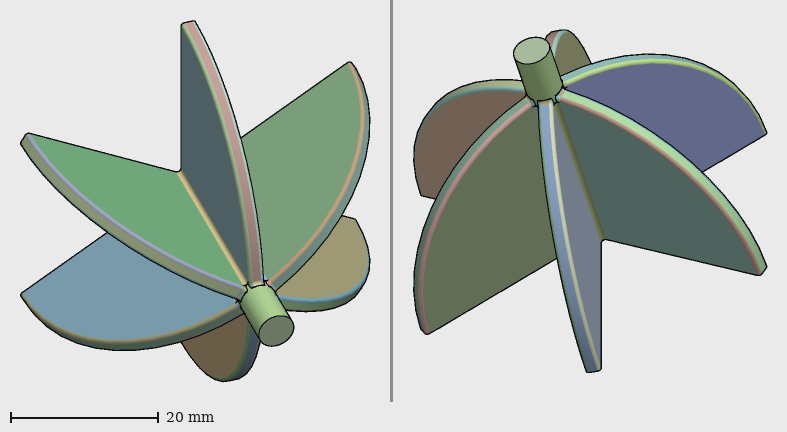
import cadquery as cq
import math

blade_count = 6
blade_radius = 27.5
blade_thickness = 2.15
edge_round = 0.5
root_round = 0.5
stem_round = 0.5
stem_radius = 2.55
core_setback = 0.3
total_length = 35.0

fillet_center_r = stem_radius + stem_round
fillet_center_x = math.sqrt((blade_radius + stem_round) ** 2 - fillet_center_r ** 2)
touch_ratio = blade_radius / (blade_radius + stem_round)
arc_end_angle = math.atan2(fillet_center_r, fillet_center_x)

core_length = blade_radius - edge_round - core_setback
sharp_root_radius = blade_thickness / 2 / math.sin(math.pi / blade_count)
core_arm_length = sharp_root_radius + 3 * root_round


def around_axis(solid):
    """Union of equally spaced copies of a solid about the X axis."""
    ring = solid
    for i in range(1, blade_count):
        ring = ring.union(solid.rotate((0, 0, 0), (1, 0, 0), i * 360 / blade_count))
    return ring


def make_blade():
    """Quarter disc with a concave blend to the stem and rounded outer edges."""
    arc_mid_angle = (math.pi / 2 + arc_end_angle) / 2
    arc_mid = (blade_radius * math.cos(arc_mid_angle), blade_radius * math.sin(arc_mid_angle))
    arc_end = (fillet_center_x * touch_ratio, fillet_center_r * touch_ratio)
    blend_angle = (arc_end_angle + math.pi + 1.5 * math.pi) / 2
    blend_mid = (
        fillet_center_x + stem_round * math.cos(blend_angle),
        fillet_center_r + stem_round * math.sin(blend_angle),
    )
    blade = (
        cq.Workplane("XZ")
        .lineTo(0, blade_radius)
        .threePointArc(arc_mid, arc_end)
        .threePointArc(blend_mid, (fillet_center_x, stem_radius))
        .lineTo(fillet_center_x, 0)
        .close()
        .extrude(blade_thickness / 2, both=True)
    )
    return blade.faces("<Y or >Y").edges("%CIRCLE").fillet(edge_round)


def make_core():
    """Short-armed star prism with rounded corners between the arms."""
    arm = cq.Workplane("XY").box(
        core_length, blade_thickness, core_arm_length, centered=(False, True, False)
    )
    reach = sharp_root_radius + root_round / 2
    root_edges = cq.selectors.BoxSelector((0, -reach, -reach), (core_length, reach, reach))
    return around_axis(arm).edges("|X").edges(root_edges).fillet(root_round)


def make_stem():
    """Round shaft continuing from the core."""
    return (
        cq.Workplane("YZ", origin=(core_length, 0, 0))
        .circle(stem_radius)
        .extrude(total_length - core_length)
    )


result = around_axis(make_blade()).union(make_core()).union(make_stem())